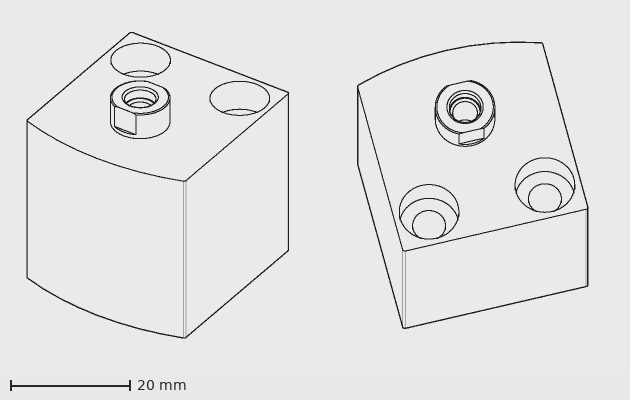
import cadquery as cq
import math

width = 32.0
housing_height = 32.0
back_y = 20.98
front_y = -13.0
front_radius = 50.02
edge_radius = 0.4

mount_hole_diameter = 5.5
mount_bore_diameter = 10.0
mount_bore_depth = 5.7
mount_spacing = 20.0
mount_y = 15.0

rod_diameter = 10.0
rod_projection = 37.0 - housing_height
rod_insertion = 14.8
rod_chamfer_height = 0.15
rod_chamfer_width = 0.25
flat_spacing = 9.0
flat_height = 4.2

socket_diameter = 5.3
socket_mouth_diameter = 6.05
socket_depth = 2.0
drill_mouth_diameter = 5.0
drill_diameter = 4.15
drill_depth = 10.0
drill_tip_angle = 118.0

rod_top = housing_height + rod_projection
rod_bottom = housing_height - rod_insertion


def make_block():
    """Prism whose front face is an arc centred on the rod's plane of symmetry."""
    half_width = width / 2
    arc_rise = front_radius - math.sqrt(front_radius**2 - half_width**2)
    corner_y = front_y + arc_rise
    return (
        cq.Workplane("XY")
        .moveTo(-half_width, back_y)
        .lineTo(-half_width, corner_y)
        .threePointArc((0, front_y), (half_width, corner_y))
        .lineTo(half_width, back_y)
        .close()
        .extrude(housing_height)
        .edges("|Z")
        .fillet(edge_radius)
    )


def make_housing():
    """Block with two mounting holes and the bore that receives the rod."""
    mount_centres = [(-mount_spacing / 2, mount_y), (mount_spacing / 2, mount_y)]
    return (
        make_block()
        .faces(">Z")
        .workplane(origin=(0, 0, housing_height))
        .pushPoints(mount_centres)
        .cboreHole(mount_hole_diameter, mount_bore_diameter, mount_bore_depth)
        .faces(">Z")
        .workplane(origin=(0, 0, housing_height))
        .hole(rod_diameter, rod_insertion)
    )


def make_socket():
    """Revolved tool for the rod's hole: chamfered socket, then a chamfered drilled hole with a conical tip."""
    mouth_radius = socket_mouth_diameter / 2
    socket_radius = socket_diameter / 2
    drill_radius = drill_diameter / 2
    mouth_depth = mouth_radius - socket_radius
    drill_mouth_radius = drill_mouth_diameter / 2
    drill_mouth_depth = drill_mouth_radius - drill_radius
    tip_length = drill_radius / math.tan(math.radians(drill_tip_angle / 2))
    return (
        cq.Workplane("XZ")
        .moveTo(0, rod_top)
        .lineTo(mouth_radius, rod_top)
        .lineTo(socket_radius, rod_top - mouth_depth)
        .lineTo(socket_radius, rod_top - socket_depth)
        .lineTo(drill_mouth_radius, rod_top - socket_depth)
        .lineTo(drill_radius, rod_top - socket_depth - drill_mouth_depth)
        .lineTo(drill_radius, rod_top - drill_depth)
        .lineTo(0, rod_top - drill_depth - tip_length)
        .close()
        .revolve(360, (0, 0, 0), (0, 1, 0))
    )


def make_rod():
    """Round rod with two wrench flats facing front and back."""
    rod = (
        cq.Workplane("XY", origin=(0, 0, rod_bottom))
        .circle(rod_diameter / 2)
        .extrude(rod_top - rod_bottom)
        .faces(">Z")
        .chamfer(rod_chamfer_height, rod_chamfer_width)
    )
    flat_cut_depth = (rod_diameter - flat_spacing) / 2
    for side in (-1, 1):
        cutter = cq.Workplane("XY").box(rod_diameter, flat_cut_depth, flat_height).translate(
            (0, side * (flat_spacing + flat_cut_depth) / 2, rod_top - flat_height / 2)
        )
        rod = rod.cut(cutter)
    return rod.cut(make_socket())


housing = make_housing()
rod = make_rod()
result = cq.Compound.makeCompound([housing.val(), rod.val()])